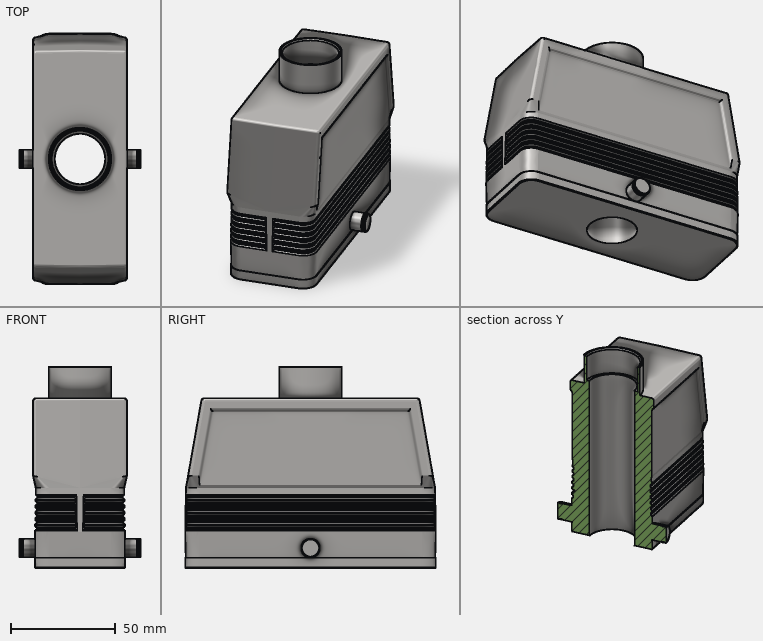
import cadquery as cq
import math

FLANGE_TOP = 5.0
BAND_TOP = 17.2
COLLAR_TOP = 38.4
HOOD_TOP = 81.25
NECK_HEIGHT = 15.0
NECK_TOP = HOOD_TOP + NECK_HEIGHT

FLANGE_X, FLANGE_Y, FLANGE_RADIUS = 43.2, 120.0, 7.2
WALL_RADIUS = 6.8
FLANGE_BOTTOM_CHAMFER = 0.4
BAND_DRAFT = 0.3
COLLAR_DRAFT = 0.4

GROOVE_COUNT = 6
GROOVE_PITCH = 3.0
GROOVE_FIRST_TOP = 35.15
GROOVE_OPENING = 2.35
GROOVE_DEPTH = 0.8
END_STRIP_WIDTH = 2.7

HOOD_X = 45.0
HOOD_END_Y = FLANGE_Y / 2 - COLLAR_DRAFT
HOOD_END_SLOPE = 10.0
HOOD_END_FOLD = 0.4
HOOD_FILLET = 1.5
SHOULDER_TOP = 44.2

PANEL_DEPTH = 1.0
PANEL_BORDER_RUN = 1.9
PANEL_TOP_MARGIN = 4.8
PANEL_END_MARGIN = 4.4
PANEL_TOP = HOOD_TOP - PANEL_TOP_MARGIN

NECK_DIAMETER = 30.0
NECK_BORE = 27.0
NECK_BORE_FLOOR = 83.0
NECK_RIM_CHAMFER = 0.75
CABLE_HOLE = 24.0

PIN_DIAMETER = 9.0
PIN_SPAN = 58.0
PIN_HEIGHT = 9.6
PIN_CHAMFER = 0.4
PIN_GROOVE_OFFSET = 1.1
PIN_GROOVE_WIDTH = 0.8
PIN_GROOVE_DEPTH = 0.3

END_TAN = math.tan(math.radians(HOOD_END_SLOPE))


def rounded_wire(size_x, size_y, radius, z):
    """Rounded rectangle wire, centred on the Z axis, at height z."""
    rectangle = cq.Workplane("XY", origin=(0, 0, z)).rect(size_x, size_y).wires().val()
    return rectangle.fillet2D(radius, rectangle.Vertices())


def loft_between(lower_wire, upper_wire):
    """Solid with straight-ruled walls between two wires."""
    return cq.Workplane(obj=cq.Solid.makeLoft([lower_wire, upper_wire], True))


def wall_wire(z, inset):
    """Outline of the drafted ribbed wall at height z, moved inwards by inset."""
    lean = COLLAR_DRAFT * (z - BAND_TOP) / (COLLAR_TOP - BAND_TOP)
    shrink = lean + inset
    return rounded_wire(FLANGE_X - 2 * shrink, FLANGE_Y - 2 * shrink, WALL_RADIUS - shrink, z)


def lower_housing():
    flange = cq.Workplane("XY").rect(FLANGE_X, FLANGE_Y).extrude(FLANGE_TOP)
    flange = flange.edges("|Z").fillet(FLANGE_RADIUS)
    flange = flange.faces("<Z").edges().chamfer(FLANGE_BOTTOM_CHAMFER)

    band_foot = rounded_wire(
        FLANGE_X - 2 * BAND_DRAFT, FLANGE_Y - 2 * BAND_DRAFT, WALL_RADIUS - BAND_DRAFT, FLANGE_TOP
    )
    band = loft_between(band_foot, wall_wire(BAND_TOP, 0))
    ribbed_wall = loft_between(wall_wire(BAND_TOP, 0), wall_wire(COLLAR_TOP, 0))
    return flange.union(band).union(ribbed_wall)


def grip_groove(top):
    """Ring with a 45 degree trapezoidal section, opening downwards from height top."""
    bottom = top - GROOVE_OPENING
    root_top = top - GROOVE_DEPTH
    root_bottom = bottom + GROOVE_DEPTH
    ring = cq.Workplane("XY").workplane(offset=bottom).rect(2 * FLANGE_X, 2 * FLANGE_Y)
    ring = ring.extrude(GROOVE_OPENING)
    levels = [(bottom, 0), (root_bottom, GROOVE_DEPTH), (root_top, GROOVE_DEPTH), (top, 0)]
    for (z_low, inset_low), (z_high, inset_high) in zip(levels, levels[1:]):
        ring = ring.cut(loft_between(wall_wire(z_low, inset_low), wall_wire(z_high, inset_high)))
    return ring


def end_strips():
    """Material kept free of grooves: it widens at 45 degrees towards the groove root."""
    half = END_STRIP_WIDTH / 2
    face = FLANGE_Y / 2
    reach = 2 * GROOVE_DEPTH
    height = COLLAR_TOP - BAND_TOP
    strip = (
        cq.Workplane("XY", origin=(0, 0, BAND_TOP))
        .polyline([(-half, FLANGE_Y), (half, FLANGE_Y), (half, face),
                   (half + reach, face - reach), (-half - reach, face - reach), (-half, face)])
        .close()
        .extrude(height)
    )
    return strip.union(strip.mirror("XZ"))


def shoulder():
    """Flare from the rounded collar outline to the nearly square hood outline."""
    end_y = HOOD_END_Y - HOOD_END_FOLD - (SHOULDER_TOP - COLLAR_TOP) * END_TAN
    top_outline = rounded_wire(HOOD_X, 2 * end_y, HOOD_FILLET, SHOULDER_TOP)
    return loft_between(wall_wire(COLLAR_TOP, 0), top_outline)


def hood_outline(z):
    """Six-sided hood outline: straight sides and end faces folded along the middle."""
    half_x = HOOD_X / 2
    ridge_y = HOOD_END_Y - (z - COLLAR_TOP) * END_TAN
    corner_y = ridge_y - HOOD_END_FOLD
    points = [(half_x, -corner_y), (half_x, corner_y), (0, ridge_y),
              (-half_x, corner_y), (-half_x, -corner_y), (0, -ridge_y)]
    return cq.Wire.makePolygon([cq.Vector(x, y, z) for x, y in points], close=True)


def hood():
    body = loft_between(hood_outline(COLLAR_TOP), hood_outline(HOOD_TOP))
    corners = body.edges("not #Z").edges("<X or >X")
    top_rim = body.faces(">Z").edges()
    body = corners.add(top_rim).fillet(HOOD_FILLET)

    half_x = HOOD_X / 2
    v_profile = (
        cq.Workplane("XZ")
        .polyline([(0, COLLAR_TOP), (half_x, SHOULDER_TOP), (half_x, HOOD_TOP),
                   (-half_x, HOOD_TOP), (-half_x, SHOULDER_TOP)])
        .close()
        .extrude(FLANGE_Y, both=True)
    )
    return body.intersect(v_profile)


def panel_border(plane):
    """Bar whose one long edge is the S-shaped panel border.

    In the plane, local x runs from the rim into the panel and local y runs out of the hood.
    """
    middle = PANEL_BORDER_RUN / 2
    half_depth = PANEL_DEPTH / 2
    arc_radius = (middle**2 + half_depth**2) / (2 * half_depth)
    sag = arc_radius - math.sqrt(arc_radius**2 - (middle / 2) ** 2)
    return (
        cq.Workplane(plane)
        .threePointArc((middle / 2, -sag), (middle, -half_depth))
        .threePointArc((middle + middle / 2, sag - PANEL_DEPTH), (PANEL_BORDER_RUN, -PANEL_DEPTH))
        .lineTo(FLANGE_Y, -PANEL_DEPTH)
        .lineTo(FLANGE_Y, PANEL_DEPTH)
        .lineTo(0, PANEL_DEPTH)
        .close()
        .extrude(FLANGE_Y, both=True)
    )


def side_panel():
    """Cutter for the recess on the -X side; it runs out below through the shoulder."""
    face_x = -HOOD_X / 2
    rim_y = HOOD_END_Y - HOOD_END_FOLD - (PANEL_TOP - COLLAR_TOP) * END_TAN - PANEL_END_MARGIN
    outward = cq.Vector(-1, 0, 0)

    def border(origin, inward):
        normal = inward.cross(outward)
        return panel_border(cq.Plane(origin=origin, xDir=inward, normal=normal))

    slope = math.radians(HOOD_END_SLOPE)
    cutter = border((face_x, 0, PANEL_TOP), cq.Vector(0, 0, -1))
    for side in (-1, 1):
        inward = cq.Vector(0, -side * math.cos(slope), -math.sin(slope))
        cutter = cutter.intersect(border((face_x, side * rim_y, PANEL_TOP), inward))
    above_collar = cq.Workplane("XY", origin=(0, 0, COLLAR_TOP)).rect(2 * HOOD_X, 2 * FLANGE_Y)
    return cutter.intersect(above_collar.extrude(HOOD_TOP))


def neck():
    base = cq.Workplane("XY", origin=(0, 0, SHOULDER_TOP))
    return base.circle(NECK_DIAMETER / 2).extrude(NECK_TOP - SHOULDER_TOP)


def neck_bore():
    """Through hole, wider bore above its ledge and the chamfer at the rim."""
    hole = CABLE_HOLE / 2
    bore = NECK_BORE / 2
    profile = cq.Workplane("XZ").polyline([
        (0, 0), (hole, 0), (hole, NECK_BORE_FLOOR), (bore, NECK_BORE_FLOOR),
        (bore, NECK_TOP - NECK_RIM_CHAMFER), (bore + NECK_RIM_CHAMFER, NECK_TOP), (0, NECK_TOP),
    ])
    return profile.close().revolve(360, (0, 0), (0, 1))


def locking_pins():
    radius = PIN_DIAMETER / 2
    pins = cq.Workplane("YZ", origin=(-PIN_SPAN / 2, 0, PIN_HEIGHT)).circle(radius).extrude(PIN_SPAN)
    pins = pins.faces("<X or >X").edges().chamfer(PIN_CHAMFER)
    groove = (
        cq.Workplane("YZ", origin=(PIN_SPAN / 2 - PIN_GROOVE_OFFSET, 0, PIN_HEIGHT))
        .circle(PIN_DIAMETER)
        .circle(radius - PIN_GROOVE_DEPTH)
        .extrude(-PIN_GROOVE_WIDTH)
    )
    return pins.cut(groove).cut(groove.mirror("YZ"))


housing = lower_housing()
strips = end_strips()
for index in range(GROOVE_COUNT):
    housing = housing.cut(grip_groove(GROOVE_FIRST_TOP - index * GROOVE_PITCH).cut(strips))

upper = shoulder().union(hood())
panel = side_panel()
upper = upper.cut(panel).cut(panel.mirror("YZ"))

result = housing.union(upper).union(locking_pins()).union(neck()).cut(neck_bore())